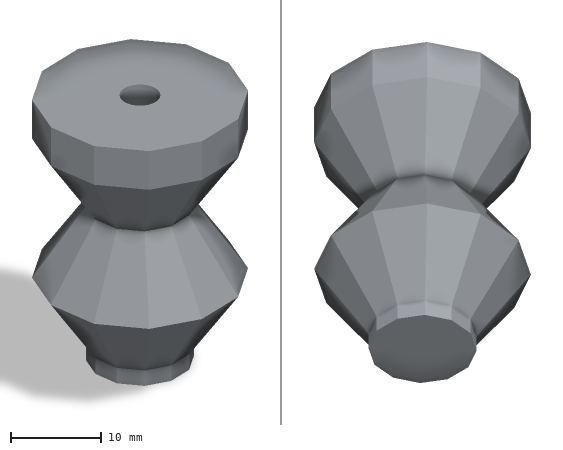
import cadquery as cq

side_count = 12
wide_diameter = 24.0
narrow_diameter = 12.0

foot_height = 2.0
taper_height = 9.0
head_height = 5.0

hole_diameter = 4.5
hole_depth = 3.0


def make_section(base_z, height, bottom_diameter, top_diameter):
    """Twelve-sided section whose corner diameter runs from bottom to top."""
    return (
        cq.Workplane("XY")
        .workplane(offset=base_z)
        .polygon(side_count, bottom_diameter)
        .workplane(offset=height)
        .polygon(side_count, top_diameter)
        .loft(ruled=True)
    )


sections = [
    (foot_height, narrow_diameter, narrow_diameter),
    (taper_height, narrow_diameter, wide_diameter),
    (taper_height, wide_diameter, narrow_diameter),
    (taper_height, narrow_diameter, wide_diameter),
    (head_height, wide_diameter, wide_diameter),
]


def make_body():
    """Stack the sections on top of each other, starting at Z = 0."""
    body = cq.Workplane("XY")
    base_z = 0.0
    for height, bottom_diameter, top_diameter in sections:
        body = body.union(make_section(base_z, height, bottom_diameter, top_diameter))
        base_z += height
    return body


def drill_top_hole(body):
    """Cut the flat-bottomed blind hole down the axis from the top face."""
    return body.faces(">Z").workplane(origin=(0, 0, 0)).hole(hole_diameter, hole_depth)


result = drill_top_hole(make_body())